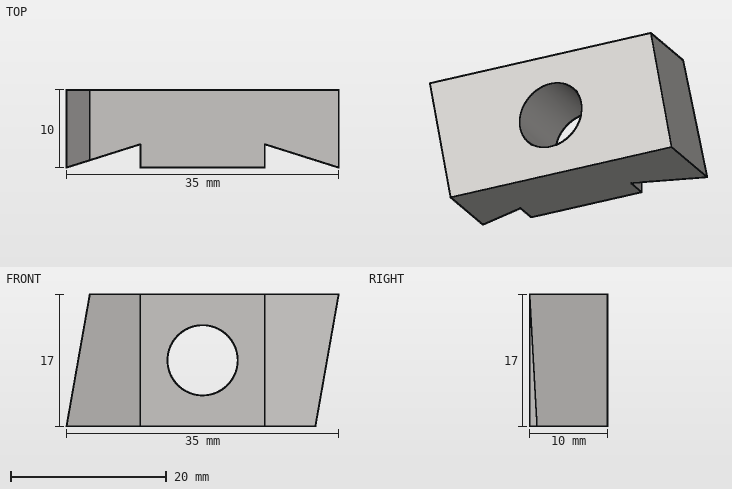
import cadquery as cq

length = 35.0
depth = 10.0
height = 17.0

end_offset = 3.0
boss_width = 16.0
notch_depth = 3.0
hole_diameter = 9.0

half_length = length / 2
half_depth = depth / 2
half_height = height / 2
half_boss = boss_width / 2
front_y = -half_depth
notch_y = front_y + notch_depth


def make_profile_prism():
    """Plan outline with a sloped face on each side of the pad, extruded along Z."""
    outline = [
        (-half_length, half_depth),
        (-half_length, front_y),
        (-half_boss, notch_y),
        (-half_boss, front_y),
        (half_boss, front_y),
        (half_boss, notch_y),
        (half_length, front_y),
        (half_length, half_depth),
    ]
    return (
        cq.Workplane("XY")
        .workplane(offset=-half_height)
        .polyline(outline)
        .close()
        .extrude(height)
    )


def make_slanted_envelope():
    """Parallelogram seen along Y, which sets both slanted ends."""
    outline = [
        (-half_length, -half_height),
        (half_length - end_offset, -half_height),
        (half_length, half_height),
        (-half_length + end_offset, half_height),
    ]
    return (
        cq.Workplane("XZ", origin=(0, half_depth, 0))
        .polyline(outline)
        .close()
        .extrude(depth)
    )


def make_hole():
    """Cylinder for the through hole along Y at the centre of the pad."""
    return (
        cq.Workplane("XZ", origin=(0, half_depth, 0))
        .circle(hole_diameter / 2)
        .extrude(depth)
    )


result = make_profile_prism().intersect(make_slanted_envelope()).cut(make_hole())